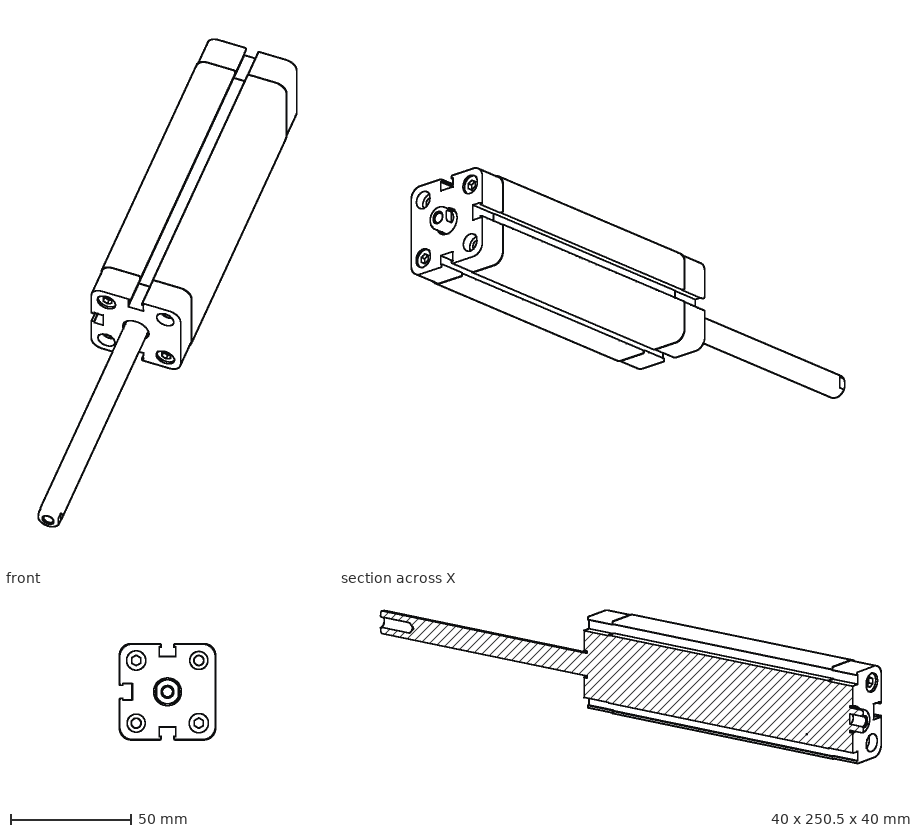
import cadquery as cq

body_side = 40.0
body_length = 139.5
cap_length = 12.8
corner_radius = 5.0
cap_inset = 0.3

slot_opening = 5.3
slot_width = 6.8
slot_depth = 5.3
slot_lip = 1.3
slot_edge_radius = 0.8
slot_angles = (0, 180, -90)

hole_spacing = 26.0
through_hole_diameter = 4.0
through_counterbore_diameter = 7.5
through_counterbore_depth = 1.6
screw_recess_diameter = 8.0
screw_recess_depth = 0.4
socket_across_flats = 3.8
socket_depth = 0.8

rod_diameter = 10.0
rod_front_length = 105.5
rod_rear_length = 5.5
rod_end_radius = 1.3
flat_spacing = 8.8
flat_length = 3.5
thread_hole_diameter = 4.3
thread_mouth_diameter = 5.3
thread_hole_depth = 15.0

rod_recess_diameter = 11.5
rod_recess_depth = 0.6

cap_side = body_side - 2 * cap_inset
rod_front_y = -rod_front_length
rod_rear_y = body_length + rod_rear_length

body_ends = ((0.0, 2.5), (body_length, -2.5))
rod_ends = ((rod_front_y, 1), (rod_rear_y, -1))


def cylinder(diameter, y_start, y_end, x=0.0, z=0.0):
    """Cylinder parallel to Y between two Y positions."""
    start = cq.Vector(x, y_start, z)
    direction = cq.Vector(0, y_end - y_start, 0)
    return cq.Workplane(cq.Solid.makeCylinder(diameter / 2, abs(y_end - y_start), start, direction))


def cone(diameter, tip_diameter, y_start, y_end):
    """Cone on the rod axis that narrows from y_start to y_end."""
    start = cq.Vector(0, y_start, 0)
    direction = cq.Vector(0, y_end - y_start, 0)
    return cq.Workplane(
        cq.Solid.makeCone(diameter / 2, tip_diameter / 2, abs(y_end - y_start), start, direction)
    )


def section_at(y):
    """Sketch plane normal to Y whose extrusions run toward +Y (its local x is -X)."""
    return cq.Workplane(cq.Plane(origin=(0, y, 0), xDir=(-1, 0, 0), normal=(0, 1, 0)))


def t_slot(top_z, y_start, length):
    """Cutter for a T-slot in the top side at height top_z, with rounded mouth edges."""
    mouth = slot_opening / 2
    groove = slot_width / 2
    floor_z = top_z - slot_depth
    lip_z = top_z - slot_lip
    round_z = top_z - slot_edge_radius
    outer = mouth + slot_edge_radius
    outline = (
        section_at(y_start)
        .moveTo(-groove, floor_z)
        .lineTo(groove, floor_z)
        .lineTo(groove, lip_z)
        .lineTo(mouth, lip_z)
        .lineTo(mouth, round_z)
        .radiusArc((outer, top_z), slot_edge_radius)
        .lineTo(-outer, top_z)
        .radiusArc((-mouth, round_z), slot_edge_radius)
        .lineTo(-mouth, lip_z)
        .lineTo(-groove, lip_z)
        .close()
    )
    return outline.extrude(length)


def slotted_bar(side, y_start, length):
    """Square bar along Y with rounded long edges and T-slots in three sides."""
    bar = section_at(y_start).rect(side, side).extrude(length).edges("|Y").fillet(corner_radius)
    slot = t_slot(side / 2, y_start, length)
    for angle in slot_angles:
        bar = bar.cut(slot.rotate((0, 0, 0), (0, 1, 0), angle))
    return bar


def through_hole(x, z):
    """Hole through the whole body, counterbored at both ends."""
    hole = cylinder(through_hole_diameter, 0, body_length, x, z)
    for end_y, inward in body_ends:
        floor_y = end_y + inward * through_counterbore_depth
        hole = hole.union(cylinder(through_counterbore_diameter, end_y, floor_y, x, z))
    return hole


def screw_recess(x, z, end_y, inward):
    """Shallow recess down to a screw head, with the hexagon socket in the head."""
    floor_y = end_y + inward * screw_recess_depth
    recess = cylinder(screw_recess_diameter, end_y, floor_y, x, z)
    socket = (
        section_at(floor_y)
        .center(-x, z)
        .polygon(6, socket_across_flats, circumscribed=True)
        .extrude(inward * socket_depth)
    )
    return recess.union(socket)


def make_body():
    tube_length = body_length - 2 * cap_length
    body = slotted_bar(body_side, cap_length, tube_length)
    for cap_y in (0, body_length - cap_length):
        body = body.union(slotted_bar(cap_side, cap_y, cap_length))

    offset = hole_spacing / 2
    for side in (-1, 1):
        x = side * offset
        body = body.cut(through_hole(x, x))
        for end_y, inward in body_ends:
            body = body.cut(screw_recess(x, -x, end_y, inward))

    for end_y, inward in body_ends:
        body = body.cut(cylinder(rod_recess_diameter, end_y, end_y + inward * rod_recess_depth))
    return body


def rod_flat(end_y, inward, side):
    """Cutter for one wrench flat whose inner end slopes out at 45 degrees."""
    flat_x = side * flat_spacing / 2
    outer_x = side * rod_diameter / 2
    flat_end = end_y + inward * flat_length
    slope_end = flat_end + inward * abs(outer_x - flat_x)
    outline = [(flat_x, end_y), (flat_x, flat_end), (outer_x, slope_end), (outer_x, end_y)]
    return cq.Workplane("XY").polyline(outline).close().extrude(rod_diameter / 2, both=True)


def thread_hole(end_y, inward):
    """Blind hole with a 45 degree countersink and a conical bottom."""
    mouth_depth = (thread_mouth_diameter - thread_hole_diameter) / 2
    bottom_y = end_y + inward * thread_hole_depth
    tip_y = bottom_y + inward * thread_hole_diameter / 2
    hole = cylinder(thread_hole_diameter, end_y, bottom_y)
    mouth = cone(thread_mouth_diameter, thread_hole_diameter, end_y, end_y + inward * mouth_depth)
    return hole.union(mouth).union(cone(thread_hole_diameter, 0, bottom_y, tip_y))


def make_rod():
    rod = cylinder(rod_diameter, rod_front_y, rod_rear_y)
    rod = rod.faces("<Y or >Y").edges().fillet(rod_end_radius)
    for end_y, inward in rod_ends:
        for side in (-1, 1):
            rod = rod.cut(rod_flat(end_y, inward, side))
        rod = rod.cut(thread_hole(end_y, inward))
    return rod


result = make_body().union(make_rod())